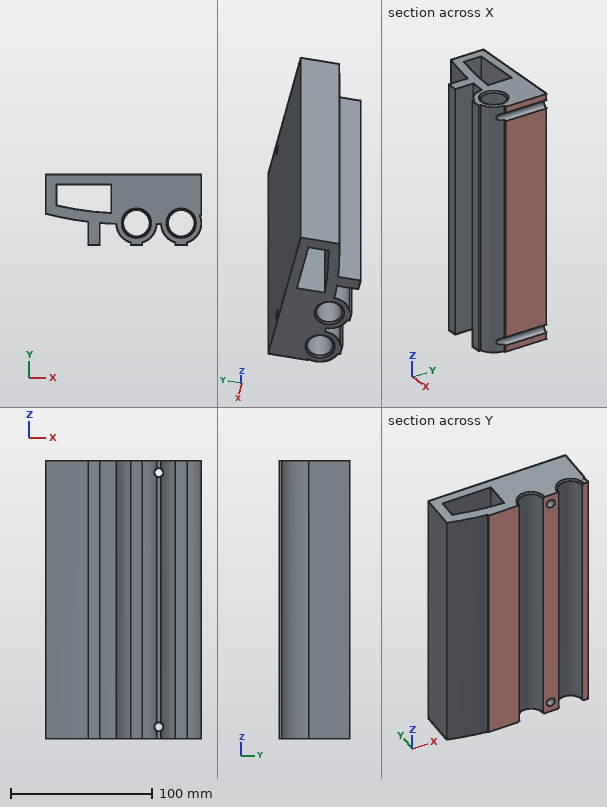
import cadquery as cq
import math

width = 110.4
depth = 50.0
length = 197.0

boss_radius = 14.35
boss_spacing = 31.7
boss_right_x = width - boss_radius
boss_left_x = boss_right_x - boss_spacing
boss_y = 15.5
foot_width = 8.3

bore_diameter = 18.63
bore_chamfer = 1.2

arc_radius = 225.0
arc_x = 57.0
underside_y = 14.8
arc_center_y = underside_y + arc_radius
side_end_y = 21.0

rib_x = 30.1
rib_width = 8.4

hollow_left_x = 7.8
hollow_right_x = 46.5
hollow_roof = 7.2
hollow_floor = 7.7

cross_hole_diameter = 6.2
cross_hole_end_distance = 8.5


def arc_y(x, radius):
    """Height at x of the lower side of a circle concentric with the underside arc."""
    return arc_center_y - math.sqrt(radius**2 - (x - arc_x) ** 2)


def arc_point(x, radius):
    return (x, arc_y(x, radius))


def make_block(x_min, x_max, y_min, y_max):
    """Full-length rectangular bar."""
    return (
        cq.Workplane("XY")
        .box(x_max - x_min, y_max - y_min, length, centered=False)
        .translate((x_min, y_min, 0))
    )


def make_body():
    """Plate with the arched underside, whose right side stops on the right boss."""
    return (
        cq.Workplane("XY")
        .moveTo(0, depth)
        .lineTo(*arc_point(0, arc_radius))
        .threePointArc(arc_point(arc_x / 2, arc_radius), (arc_x, underside_y))
        .lineTo(boss_right_x, underside_y)
        .lineTo(boss_right_x, side_end_y)
        .lineTo(width, side_end_y)
        .lineTo(width, depth)
        .close()
        .extrude(length)
    )


def make_hollow():
    """Through hollow whose floor follows the underside arc."""
    radius = arc_radius - hollow_floor
    roof_y = depth - hollow_roof
    middle_x = (hollow_left_x + hollow_right_x) / 2
    return (
        cq.Workplane("XY")
        .moveTo(hollow_left_x, roof_y)
        .lineTo(*arc_point(hollow_left_x, radius))
        .threePointArc(arc_point(middle_x, radius), arc_point(hollow_right_x, radius))
        .lineTo(hollow_right_x, roof_y)
        .close()
        .extrude(length)
    )


def make_boss(x):
    """Round boss with a flat foot below it."""
    tube = cq.Workplane("XY").center(x, boss_y).circle(boss_radius).extrude(length)
    return tube.union(make_block(x - foot_width / 2, x + foot_width / 2, 0, boss_y))


def make_bore(x):
    """Through bore that widens at 45 degrees at each end."""
    bore_radius = bore_diameter / 2
    mouth_radius = bore_radius + bore_chamfer
    half_section = [
        (0, 0),
        (mouth_radius, 0),
        (bore_radius, bore_chamfer),
        (bore_radius, length - bore_chamfer),
        (mouth_radius, length),
        (0, length),
    ]
    bore = cq.Workplane("XZ").polyline(half_section).close().revolve(360, (0, 0, 0), (0, 1, 0))
    return bore.translate((x, boss_y, 0))


def make_cross_hole(z):
    """Hole along Y, midway between the bosses."""
    x = (boss_left_x + boss_right_x) / 2
    return cq.Workplane("XZ", origin=(x, depth, z)).circle(cross_hole_diameter / 2).extrude(depth)


body = make_body()
body = body.union(make_block(rib_x, rib_x + rib_width, 0, underside_y + hollow_floor))
for boss_x in (boss_left_x, boss_right_x):
    body = body.union(make_boss(boss_x))

body = body.cut(make_hollow())
for boss_x in (boss_left_x, boss_right_x):
    body = body.cut(make_bore(boss_x))
for hole_z in (cross_hole_end_distance, length - cross_hole_end_distance):
    body = body.cut(make_cross_hole(hole_z))

result = body